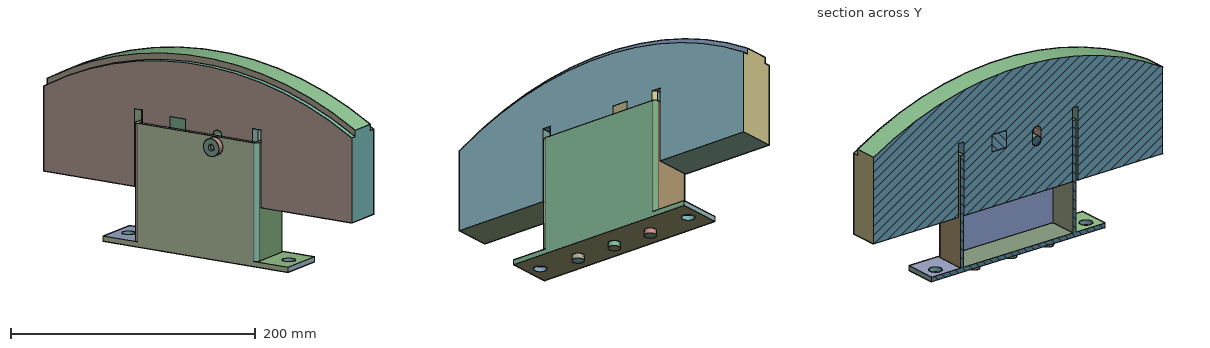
import cadquery as cq


shoe_length = 300
shoe_width = 33
shoe_top = 167.5
shoe_bottom = 49.8
arch_rise = 40.2
rim_width = 22.8
rim_height = 5.5
notch_span = 123.5
notch_top = 115.5
tongue_chamfer = 3

plate_length = 180
bracket_width = 40.0
plate_thickness = 4.5
sleeve_length = 120
sleeve_top = 104.7
sleeve_corner_radius = 3.5
wall = (bracket_width - shoe_width) / 2
tongue_length = sleeve_length - 2 * wall
mount_hole_diameter = 11.0
mount_hole_x = 78
stud_diameter = 10.2
stud_height = 4.5
stud_spacing = 38.0

bolt_x = 19.2
bolt_z = 96.5
head_diameter = 15
head_height = 6
shank_diameter = 8.5
socket_diameter = 5.5
socket_depth = 3
slot_top = 109.2
slot_depth = shoe_width / 2

insert_size = 14.7
insert_x = -19.5
insert_top = 114


def arched_block(top, width):
    """Straight-sided block below a circular arch, centred on Y."""
    half_length = shoe_length / 2
    shoulder = top - arch_rise
    return (
        cq.Workplane("XZ")
        .moveTo(-half_length, shoe_bottom)
        .lineTo(half_length, shoe_bottom)
        .lineTo(half_length, shoulder)
        .threePointArc((0, top), (-half_length, shoulder))
        .close()
        .extrude(width / 2, both=True)
    )


def block(length, width, bottom, top):
    """Box centred on X and Y between two heights."""
    return cq.Workplane("XY").box(length, width, top - bottom, centered=(True, True, False)).translate(
        (0, 0, bottom)
    )


def bolt_cylinder(diameter, front_y, length):
    """Cylinder on the bolt axis, running in +Y from front_y."""
    return (
        cq.Workplane("XZ", origin=(bolt_x, front_y, bolt_z))
        .circle(diameter / 2)
        .extrude(-length)
    )


def make_insert():
    bottom = insert_top - insert_size
    return block(insert_size, shoe_width, bottom, insert_top).translate((insert_x, 0, 0))


def make_slot():
    """Blind vertical slot in the front of the shoe; its lower round end sits on the bolt."""
    slot_length = slot_top - bolt_z + shank_diameter / 2
    slot_centre = slot_top - slot_length / 2
    return (
        cq.Workplane("XZ", origin=(bolt_x, -shoe_width / 2, slot_centre))
        .slot2D(slot_length, shank_diameter, 90)
        .extrude(-slot_depth)
    )


def make_shoe():
    body = arched_block(shoe_top - rim_height, shoe_width)
    rim = arched_block(shoe_top, rim_width)
    notch = block(notch_span, shoe_width, shoe_bottom, notch_top)
    tongue = block(tongue_length, shoe_width, shoe_bottom, notch_top)
    tongue = tongue.edges("|Z").chamfer(tongue_chamfer)
    shoe = body.union(rim).cut(notch).union(tongue)
    return shoe.cut(make_slot()).cut(make_insert())


def make_bracket():
    plate = block(plate_length, bracket_width, 0, plate_thickness)
    sleeve = block(sleeve_length, bracket_width, 0, sleeve_top)
    sleeve = sleeve.edges("|Z").fillet(sleeve_corner_radius)
    cavity = block(tongue_length, shoe_width, plate_thickness, sleeve_top)
    studs = (
        cq.Workplane("XY")
        .pushPoints([(-stud_spacing, 0), (0, 0), (stud_spacing, 0)])
        .circle(stud_diameter / 2)
        .extrude(-stud_height)
    )
    mount_holes = (
        cq.Workplane("XY")
        .pushPoints([(-mount_hole_x, 0), (mount_hole_x, 0)])
        .circle(mount_hole_diameter / 2)
        .extrude(plate_thickness)
    )
    bolt_hole = bolt_cylinder(shank_diameter, -bracket_width / 2, wall)
    return plate.union(sleeve).union(studs).cut(cavity).cut(mount_holes).cut(bolt_hole)


def make_bolt():
    front_wall_y = -bracket_width / 2
    head_y = front_wall_y - head_height
    head = bolt_cylinder(head_diameter, head_y, head_height)
    shank = bolt_cylinder(shank_diameter, front_wall_y, wall + slot_depth)
    socket = bolt_cylinder(socket_diameter, head_y, socket_depth)
    return head.union(shank).cut(socket)


shoe = make_shoe()
bracket = make_bracket()
bolt = make_bolt()
insert = make_insert()

result = cq.Compound.makeCompound([shoe.val(), bracket.val(), bolt.val(), insert.val()])